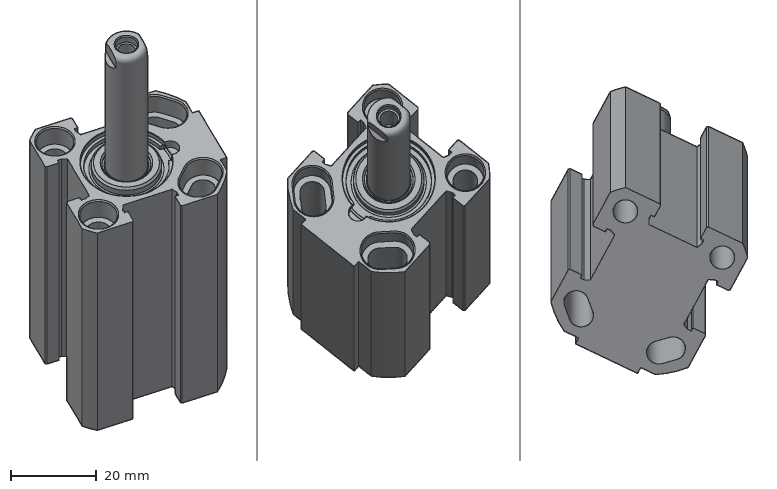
import cadquery as cq
import math

housing_height = 68.0
square_side = 36.0
overall_depth = 40.0
half_side = square_side / 2
rail_top = overall_depth - half_side
rail_width = 16.3
shoulder_y = 20.4
corner_radius = 23.7

slot_opening = 12.0
slot_mouth_chamfer = 0.3
slot_undercut = 13.8
slot_floor_width = 12.6
slot_depth = 5.8
slot_lip = 3.5
slot_undercut_flat = 1.0

hole_diameter = 5.8
counterbore_diameter = 8.8
counterbore_depth = 5.8
counterbore_chamfer = 0.3
chamfer_taper = -45
hole_offset = 12.7
slot_inner_x = 10.2
slot_inner_y = 15.1

bore_diameter = 21.6
bore_chamfer = 0.1
bore_depth = 13.0
ring_outer_diameter = 22.8
ring_inner_diameter = 20.0
ring_thickness = 1.2
ring_recess = 1.3
ring_gap = 5.0
notch_diameter = 4.3
notch_centre_y = 11.2
notch_depth = 2.3

cover_diameter = 17.6
boss_diameter = 16.5
boss_recess = 0.3
boss_chamfer = 0.5
cover_bore = 11.4
cover_bore_chamfer = 0.4
seal_recess = 1.1
seal_height = 2.2
seal_chamfer = 0.27

rod_diameter = 10.0
rod_top = 108.5
rod_end_round = 1.3
flat_spacing = 8.0
flat_length = 3.5
recess_diameter = 5.2
recess_depth = 2.1
recess_chamfer = 0.27
drill_diameter = 4.1
drill_depth = 10.8
drill_tip_angle = 118.0

bore_floor = housing_height - bore_depth
boss_top = housing_height - boss_recess
ring_top = housing_height - ring_recess
ring_bottom = ring_top - ring_thickness
seal_top = housing_height - seal_recess
seal_bottom = seal_top - seal_height


def cylinder(diameter, bottom, top):
    """Upright cylinder about the main axis."""
    return cq.Workplane("XY").workplane(offset=bottom).circle(diameter / 2).extrude(top - bottom)


def entry_cone(diameter, chamfer, top):
    """Cutter that chamfers the mouth of an axial hole at the given level."""
    rim = diameter / 2 + chamfer
    profile = [(0, top), (rim, top), (rim - chamfer, top - chamfer), (0, top - chamfer)]
    return cq.Workplane("XZ").polyline(profile).close().revolve(360, (0, 0), (0, 1))


def t_slot(angle):
    """Full-height T-slot, cut into the side that lies at the angle from +X."""
    lip_x = half_side - slot_lip
    floor_x = half_side - slot_depth
    upper = [
        (half_side, slot_opening / 2 + slot_mouth_chamfer),
        (half_side - slot_mouth_chamfer, slot_opening / 2),
        (lip_x, slot_opening / 2),
        (lip_x, slot_undercut / 2),
        (lip_x - slot_undercut_flat, slot_undercut / 2),
        (floor_x, slot_floor_width / 2),
    ]
    lower = [(x, -y) for x, y in reversed(upper)]
    slot = cq.Workplane("XY").polyline(upper + lower).close().extrude(housing_height)
    return slot.rotate((0, 0, 0), (0, 0, 1), angle)


def body_block():
    """Square extrusion with corners on one large circle, plus the raised rail."""
    lower = cq.Workplane("XY").box(
        square_side, half_side + shoulder_y, housing_height, centered=(True, False, False)
    ).translate((0, -half_side, 0))
    block = lower.intersect(cylinder(2 * corner_radius, 0, housing_height))
    rail = cq.Workplane("XY").box(
        rail_width, rail_top, housing_height, centered=(True, False, False)
    )
    return block.union(rail)


def stadium(start, end, diameter, bottom, top, taper=0):
    """Upright slot-shaped cutter, round ends centred on start and end; a negative taper widens it upward."""
    run_x = end[0] - start[0]
    run_y = end[1] - start[1]
    run = math.hypot(run_x, run_y)
    middle = ((start[0] + end[0]) / 2, (start[1] + end[1]) / 2)
    return (
        cq.Workplane("XY")
        .workplane(offset=bottom)
        .center(*middle)
        .slot2D(run + diameter, diameter, math.degrees(math.atan2(run_y, run_x)))
        .extrude(top - bottom, taper=taper)
    )


def round_mounting_hole(side):
    """Counterbored through hole at a -Y corner."""
    place = (side * hole_offset, -hole_offset, 0)
    hole = cylinder(hole_diameter, 0, housing_height)
    counterbore = cylinder(counterbore_diameter, housing_height - counterbore_depth, housing_height)
    cone = entry_cone(counterbore_diameter, counterbore_chamfer, housing_height)
    return hole.union(counterbore).union(cone).translate(place)


def slotted_mounting_hole(side):
    """Counterbored through slot at a +Y corner."""
    outer = (side * hole_offset, hole_offset)
    inner = (side * slot_inner_x, slot_inner_y)
    hole = stadium(outer, inner, hole_diameter, 0, housing_height)
    counterbore_floor = housing_height - counterbore_depth
    counterbore = stadium(outer, inner, counterbore_diameter, counterbore_floor, housing_height)
    rim_bottom = housing_height - counterbore_chamfer
    rim = stadium(outer, inner, counterbore_diameter, rim_bottom, housing_height, chamfer_taper)
    return hole.union(counterbore).union(rim)


def make_housing():
    """Profile body with its slots, mounting holes, stepped bore and release notch."""
    housing = body_block()
    for angle in (0, 180, 270):
        housing = housing.cut(t_slot(angle))
    for side in (-1, 1):
        housing = housing.cut(round_mounting_hole(side))
        housing = housing.cut(slotted_mounting_hole(side))
    notch = cylinder(notch_diameter, housing_height - notch_depth, housing_height)
    housing = housing.cut(cylinder(bore_diameter, bore_floor, housing_height))
    housing = housing.cut(entry_cone(bore_diameter, bore_chamfer, housing_height))
    housing = housing.cut(cylinder(ring_outer_diameter, ring_bottom, ring_top))
    return housing.cut(notch.translate((0, notch_centre_y, 0)))


def make_retaining_ring():
    """C-shaped ring that sits in the bore groove, open toward the notch."""
    ring = cylinder(ring_outer_diameter, ring_bottom, ring_top)
    ring = ring.cut(cylinder(ring_inner_diameter, ring_bottom, ring_top))
    gap = cq.Workplane("XY").box(
        ring_gap, ring_outer_diameter, ring_thickness, centered=(True, False, False)
    )
    return ring.cut(gap.translate((0, 0, ring_bottom)))


def make_collar():
    """Plain sleeve between the rod cover and the bore."""
    collar = cylinder(bore_diameter, bore_floor, ring_bottom)
    return collar.cut(cylinder(cover_diameter, bore_floor, ring_bottom))


def make_rod_cover():
    """Bush around the rod with a narrower chamfered boss and a seat for the seal."""
    base = cylinder(cover_diameter, bore_floor, ring_bottom)
    boss = cylinder(boss_diameter, bore_floor, boss_top).faces(">Z").chamfer(boss_chamfer)
    cover = base.union(boss)
    cover = cover.cut(cylinder(rod_diameter, bore_floor, seal_bottom))
    cover = cover.cut(cylinder(cover_bore, seal_bottom, boss_top))
    return cover.cut(entry_cone(cover_bore, cover_bore_chamfer, boss_top))


def make_seal():
    """Ring around the rod, sunk into the rod cover."""
    seal = cylinder(cover_bore, seal_bottom, seal_top)
    seal = seal.cut(cylinder(rod_diameter, seal_bottom, seal_top))
    return seal.cut(entry_cone(rod_diameter, seal_chamfer, seal_top))


def wrench_flat():
    """Cutter for the -Y wrench flat, with a 45 degree run-out at its lower end."""
    flat_y = flat_spacing / 2
    outer_y = rod_diameter
    flat_end = rod_top - flat_length
    profile = [
        (-flat_y, rod_top),
        (-flat_y, flat_end),
        (-outer_y, flat_end - (outer_y - flat_y)),
        (-outer_y, rod_top),
    ]
    return cq.Workplane("YZ").polyline(profile).close().extrude(rod_diameter / 2, both=True)


def rod_end_hole():
    """Stepped hole in the rod end with a conical drill tip."""
    drill_radius = drill_diameter / 2
    drill_end = rod_top - drill_depth
    tip = drill_end - drill_radius / math.tan(math.radians(drill_tip_angle / 2))
    profile = [
        (0, rod_top),
        (recess_diameter / 2, rod_top),
        (recess_diameter / 2, rod_top - recess_depth),
        (drill_radius, rod_top - recess_depth),
        (drill_radius, drill_end),
        (0, tip),
    ]
    hole = cq.Workplane("XZ").polyline(profile).close().revolve(360, (0, 0), (0, 1))
    return hole.union(entry_cone(recess_diameter, recess_chamfer, rod_top))


def make_rod():
    """Rod from the bore floor to its rounded end, with two wrench flats and an axial hole."""
    rod = cylinder(rod_diameter, bore_floor, rod_top).faces(">Z").edges().fillet(rod_end_round)
    flat = wrench_flat()
    rod = rod.cut(flat).cut(flat.mirror("XZ"))
    return rod.cut(rod_end_hole())


housing = make_housing()
retaining_ring = make_retaining_ring()
collar = make_collar()
rod_cover = make_rod_cover()
seal = make_seal()
rod = make_rod()

result = cq.Compound.makeCompound(
    [
        housing.val(),
        retaining_ring.val(),
        collar.val(),
        rod_cover.val(),
        seal.val(),
        rod.val(),
    ]
)